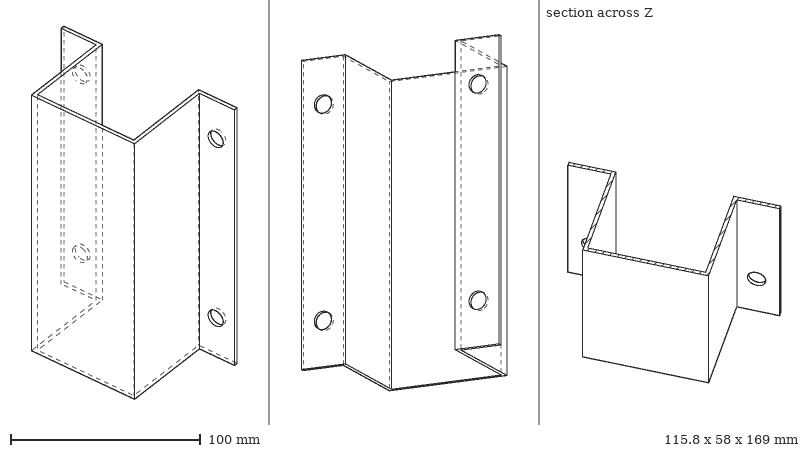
import cadquery as cq

length = 169.0
overall_width = 115.8
depth = 58.0

sheet = 2.4
channel_width = 69.0

hole_diameter = 10.0
hole_spacing_x = 90.5
hole_spacing_z = 118.3


def hat_section():
    """Extrude the bent-sheet outline along Z, centred on the origin."""
    flange_edge = overall_width / 2
    outer_wall = channel_width / 2
    inner_wall = outer_wall - sheet
    back = depth / 2
    front = -depth / 2
    right_half = [
        (inner_wall, front + sheet),
        (inner_wall, back),
        (flange_edge, back),
        (flange_edge, back - sheet),
        (outer_wall, back - sheet),
        (outer_wall, front),
    ]
    left_half = [(-x, y) for x, y in reversed(right_half)]
    outline = cq.Workplane("XY").polyline(right_half + left_half).close()
    return outline.extrude(length / 2, both=True)


def mounting_holes():
    """Cylinders along Y that pass through both flanges."""
    return (
        cq.Workplane("XZ")
        .rarray(hole_spacing_x, hole_spacing_z, 2, 2)
        .circle(hole_diameter / 2)
        .extrude(depth, both=True)
    )


result = hat_section().cut(mounting_holes())